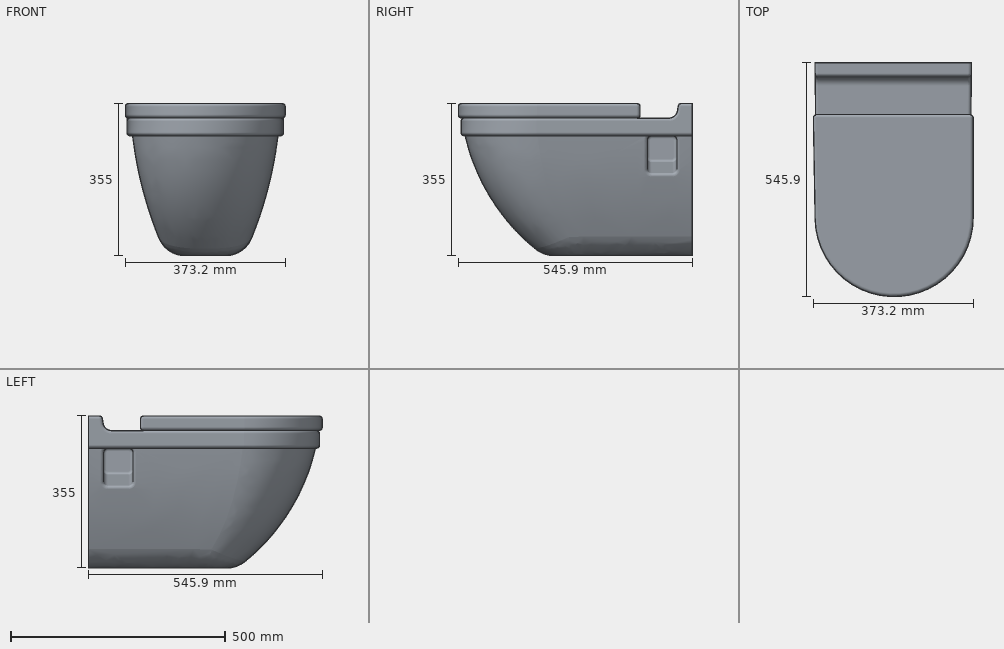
import cadquery as cq
import math


total_height = 355.0
rim_bottom = 279.5
rim_top = 321.0
edge_radius = 7.5

rim_wall_half_width = 182.8
rim_front_radius = 178.5
rim_reach = 539.5

lid_rear = 121.5
lid_rear_half_width = 186.68
lid_front_radius = 184.6
lid_front_center_x = lid_rear_half_width - lid_front_radius
lid_reach = 545.89

lip_lean = math.radians(8.6)
lip_cove_radius = 20.0
lip_cove_end = 54.5

bowl_top = rim_bottom + 15.0
bowl_section_count = 6
side_arc_radius = 934.0
side_arc_height = 391.0
side_arc_half_width = 176.3
front_arc_radius = 477.0
front_arc_height = 386.0
front_arc_reach = 542.0
underside_radius = 70.0

pocket_rear = 36.0
pocket_front = 104.5
pocket_bottom = 190.5
pocket_floor_half_width = 65.0
pocket_sill_slope = math.tan(math.radians(18.0))
pocket_corner_radius = 10.0
pocket_floor_fillet = 7.0
pocket_mouth_fillet = 7.0

margin = 1.0


def arc_offset(z, radius, arc_height, farthest):
    """Distance at height z of a vertical arc whose farthest point is at arc_height."""
    return farthest - radius + math.sqrt(radius**2 - (z - arc_height) ** 2)


def bowl_half_width(z):
    return arc_offset(z, side_arc_radius, side_arc_height, side_arc_half_width)


def bowl_reach(z):
    return arc_offset(z, front_arc_radius, front_arc_height, front_arc_reach)


def side_tangent(side, rear, rear_half_width, radius, center_x, center_reach):
    """Point where the side line from a rear corner touches the front arc (side is -1 or 1)."""
    across = rear_half_width - side * center_x
    along = center_reach - rear
    turn = math.acos(radius / math.hypot(across, along)) - math.atan2(along, across)
    return (center_x + side * radius * math.cos(turn), -center_reach - radius * math.sin(turn))


def round_front_outline(z, rear, rear_half_width, radius, reach, center_x=0.0):
    """Outline with a flat rear and straight sides that run tangent into a round front."""
    left, right = (
        side_tangent(side, rear, rear_half_width, radius, center_x, reach - radius) for side in (-1, 1)
    )
    return (
        cq.Workplane("XY", origin=(0, 0, z))
        .moveTo(-rear_half_width, -rear)
        .lineTo(*left)
        .threePointArc((center_x, -reach), right)
        .lineTo(rear_half_width, -rear)
        .close()
    )


def make_bowl():
    """Bowl lofted through level sections, its lower edge rounded except at the wall."""
    sections = []
    for index in range(bowl_section_count):
        z = bowl_top * index / (bowl_section_count - 1)
        half_width = bowl_half_width(z)
        outline = round_front_outline(z, 0, half_width, half_width, bowl_reach(z))
        sections.append(outline.wire().val())
    bowl = cq.Workplane(cq.Solid.makeLoft(sections))
    return bowl.faces("<Z").edges("not >Y").fillet(underside_radius)


def pocket_cavity(side):
    """Cavity with an upright floor and a sill that rises inwards (side is -1 or 1)."""
    mouth_half_width = bowl_half_width(pocket_bottom)
    outer_half_width = rim_wall_half_width
    sill_inner = pocket_bottom + (mouth_half_width - pocket_floor_half_width) * pocket_sill_slope
    sill_outer = pocket_bottom - (outer_half_width - mouth_half_width) * pocket_sill_slope
    cavity = (
        cq.Workplane("XZ", origin=(0, -pocket_rear, 0))
        .moveTo(side * pocket_floor_half_width, rim_bottom)
        .lineTo(side * pocket_floor_half_width, sill_inner)
        .lineTo(side * outer_half_width, sill_outer)
        .lineTo(side * outer_half_width, rim_bottom)
        .close()
        .extrude(pocket_front - pocket_rear)
    )
    cavity = cavity.edges("#Y and (not |Z)").fillet(pocket_corner_radius)
    floor = "<X" if side > 0 else ">X"
    return cavity.faces(floor).edges().fillet(pocket_floor_fillet)


def cut_pocket(bowl, side):
    """Cut one hand pocket and round its mouth."""
    bowl = bowl.cut(pocket_cavity(side))
    mouth_edges = cq.selectors.BoxSelector(
        (side * (bowl_half_width(pocket_bottom) - margin), -pocket_front - margin, pocket_bottom - margin),
        (side * rim_wall_half_width, -pocket_rear + margin, rim_bottom + margin),
    )
    return bowl.edges(mouth_edges).fillet(pocket_mouth_fillet)


def lip_clearance():
    """Space above the rim, in front of the leaning lip and its cove."""
    cove_center_z = rim_top + lip_cove_radius
    cove_start_y = lip_cove_radius * math.cos(lip_lean) - lip_cove_end
    cove_start_z = cove_center_z - lip_cove_radius * math.sin(lip_lean)
    middle_angle = (math.pi / 2 + lip_lean) / 2
    cove_middle_y = lip_cove_radius * math.cos(middle_angle) - lip_cove_end
    cove_middle_z = cove_center_z - lip_cove_radius * math.sin(middle_angle)
    lip_top_y = cove_start_y + (total_height - cove_start_z) * math.tan(lip_lean)
    return (
        cq.Workplane("YZ")
        .moveTo(lip_top_y, total_height)
        .lineTo(cove_start_y, cove_start_z)
        .threePointArc((cove_middle_y, cove_middle_z), (-lip_cove_end, rim_top))
        .lineTo(-rim_reach, rim_top)
        .lineTo(-rim_reach, total_height)
        .close()
        .extrude(rim_wall_half_width, both=True)
    )


def make_rim():
    """Rim with the lip along the wall, rounded along its lower and upper edges."""
    slab = round_front_outline(rim_bottom, 0, rim_wall_half_width, rim_front_radius, rim_reach)
    rim = slab.extrude(total_height - rim_bottom).cut(lip_clearance())
    rim = rim.faces("<Z").edges("not >Y").fillet(edge_radius)
    above_rim = cq.selectors.BoxSelector(
        (-rim_wall_half_width, -rim_reach, rim_top - margin),
        (rim_wall_half_width, -margin, total_height + margin),
    )
    lip_front_edge = rim.faces(">Z").edges("<Y")
    return rim.edges(above_rim).edges("not |X").add(lip_front_edge).fillet(edge_radius)


def make_pan():
    bowl = make_bowl()
    for side in (-1, 1):
        bowl = cut_pocket(bowl, side)
    return bowl.union(make_rim())


def make_lid():
    """Lid resting on the rim, all its edges rounded."""
    outline = round_front_outline(
        rim_top, lid_rear, lid_rear_half_width, lid_front_radius, lid_reach, lid_front_center_x
    )
    lid = outline.extrude(total_height - rim_top)
    lid = lid.edges("|Z and >Y").fillet(edge_radius)
    return lid.faces("|Z").edges().fillet(edge_radius)


pan = make_pan()
lid = make_lid()
result = cq.Compound.makeCompound([pan.solids().val(), lid.solids().val()])